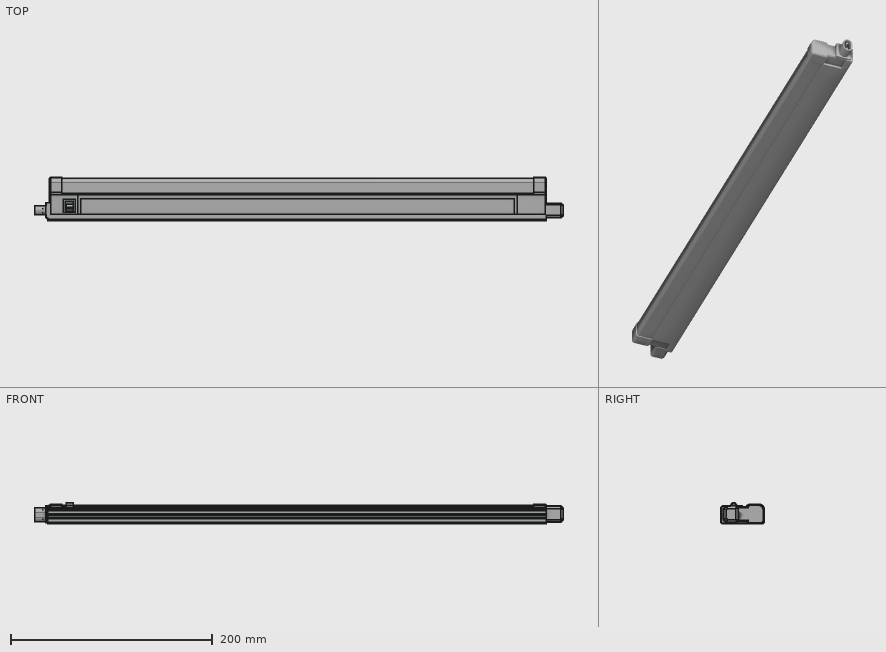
import cadquery as cq


total_length = 525.0
cover_start = 13.2
body_start = 14.8
body_end = 508.0
end_cap_length = 12.4

total_depth = 43.0
total_height = 21.0
cover_depth = 6.5
tube_front = 25.9
deck_top = 16.8
cover_top = 17.6
cap_top = 19.2
deck_end_base = 2.2

tube_corner = 5.0
base_corner = 1.5
tube_front_slope = 1.3
tube_inset = 0.8
end_rim_chamfer = 1.1

cover_chamfer = 1.7
cover_base_chamfer = 1.2
groove_width = 1.6
groove_depth = 0.8
groove_heights = (5.75, 8.9, 13.7)

insert_start = 42.8
insert_end = 479.2
insert_border = 3.2
insert_back = 22.0
insert_drop = 0.6
lens_rise = 0.3

switch_x = 34.6
switch_y = 14.8
bezel_length = 12.0
bezel_width = 13.0
bezel_wall = 2.0
bezel_rise = 0.8
bezel_sink = 2.0
rocker_x = 35.0
rocker_length = 7.4
rocker_ridge_y = 12.8
rocker_half_width = 3.6
rocker_ridge_half_width = 0.8

plug_y = 10.45
plug_z = 8.92
plug_width = 9.3
plug_height = 14.1
plug_wall = 1.2
plug_recess_depth = 8.0
pin_diameter = 2.0
pin_spacing = 7.0
pin_length = 6.0
plate_start = 11.2
plate_front = 2.0
plate_back = 18.0
plate_base = 1.0
plate_chamfer = 1.5

socket_front = 2.8
socket_back = 17.5
socket_base = 1.5
socket_top = 17.6
socket_front_chamfer = 2.6
socket_back_chamfer = 1.6
socket_tip_chamfer = 2.6


def box(x0, x1, y0, y1, z0, z1):
    """Box between two opposite corners."""
    return cq.Workplane("XY").box(x1 - x0, y1 - y0, z1 - z0, centered=False).translate((x0, y0, z0))


def tube_section(x0, x1, inset):
    """Length of the rounded back tube, shrunk on its outer sides by the inset."""
    back = total_depth - inset
    length = box(x0, x1, tube_front, back, inset, cap_top - inset)
    length = length.edges("|X and >Y and >Z").fillet(tube_corner - inset)
    length = length.edges("|X and >Y and <Z").chamfer(base_corner)
    slope_height = cap_top - inset - deck_top
    return length.edges("|X and <Y and >Z").chamfer(slope_height, tube_front_slope)


def make_body():
    """Deck and back tube with bevelled ends; the tube swells and the deck thins at the end caps."""
    caps = tube_section(body_start, body_end, 0)
    tube_start = body_start + end_cap_length
    tube_end = body_end - end_cap_length
    tube_space = box(tube_start, tube_end, tube_front, total_depth, 0, cap_top)
    deck = box(body_start, body_end, cover_depth / 2, tube_front, deck_end_base, deck_top)
    deck_foot = box(tube_start, tube_end, cover_depth / 2, tube_front, 0, deck_top)
    body = caps.union(deck).faces("<X or >X").chamfer(end_rim_chamfer)
    middle_tube = tube_section(tube_start, tube_end, tube_inset)
    return body.cut(tube_space).union(middle_tube).union(deck_foot)


def make_cover():
    """Front cover with bevelled long edges and grooves along its front face."""
    cover = box(cover_start, body_end, 0, cover_depth, 0, cover_top)
    cover = cover.edges("|X and <Y and >Z").chamfer(cover_chamfer)
    cover = cover.edges("|X and <Y and <Z").chamfer(cover_base_chamfer)
    for height in groove_heights:
        low = height - groove_width / 2
        cover = cover.cut(box(cover_start, body_end, 0, groove_depth, low, low + groove_width))
    return cover


def add_insert(body):
    """Sink the insert into the deck and raise the lens plate inside it."""
    floor = deck_top - insert_drop
    recess = box(insert_start, insert_end, cover_depth, tube_front, floor, deck_top)
    lens_start = insert_start + insert_border
    lens_end = insert_end - insert_border
    lens = box(lens_start, lens_end, cover_depth, insert_back, floor, floor + lens_rise)
    return body.cut(recess).union(lens)


def add_switch(body):
    """Framed switch opening with a ridged rocker."""
    floor = deck_top - bezel_sink
    plane = cq.Workplane("XY", origin=(switch_x, switch_y, floor))
    height = bezel_sink + bezel_rise
    frame = plane.rect(bezel_length, bezel_width).extrude(height)
    opening = plane.rect(bezel_length - 2 * bezel_wall, bezel_width - 2 * bezel_wall).extrude(height)
    rocker = (
        cq.Workplane("YZ", origin=(rocker_x - rocker_length / 2, 0, 0))
        .moveTo(rocker_ridge_y - rocker_half_width, floor)
        .lineTo(rocker_ridge_y - rocker_half_width, cover_top)
        .lineTo(rocker_ridge_y - rocker_ridge_half_width, total_height)
        .lineTo(rocker_ridge_y + rocker_ridge_half_width, total_height)
        .lineTo(rocker_ridge_y + rocker_half_width, cover_top)
        .lineTo(rocker_ridge_y + rocker_half_width, floor)
        .close()
        .extrude(rocker_length)
    )
    return body.union(frame).cut(opening).union(rocker)


def make_plug():
    """Flat-sided plug shroud holding two pins, carried on a bevelled plate."""
    plate = box(plate_start, body_start + end_rim_chamfer, plate_front, plate_back, plate_base, cover_top)
    plate = plate.edges("<X and <Y").chamfer(plate_chamfer)
    face = cq.Workplane("YZ", origin=(0, plug_y, plug_z))
    shroud = face.slot2D(plug_height, plug_width, 90).extrude(plate_start)
    recess = face.slot2D(plug_height - 2 * plug_wall, plug_width - 2 * plug_wall, 90)
    shroud = shroud.cut(recess.extrude(plug_recess_depth))
    pins = (
        face.workplane(offset=plug_recess_depth - pin_length)
        .rarray(1, pin_spacing, 1, 2)
        .circle(pin_diameter / 2)
        .extrude(pin_length)
    )
    return plate.union(shroud).union(pins)


def make_socket():
    """Solid socket block with bevelled long edges and tip."""
    root = body_end - end_rim_chamfer
    block = box(root, total_length, socket_front, socket_back, socket_base, socket_top)
    block = block.edges("|X and <Y").chamfer(socket_front_chamfer)
    block = block.edges("|X and >Y").chamfer(socket_back_chamfer)
    return block.faces(">X").chamfer(socket_tip_chamfer)


result = add_switch(add_insert(make_body()))
for part in (make_cover(), make_plug(), make_socket()):
    result = result.union(part)